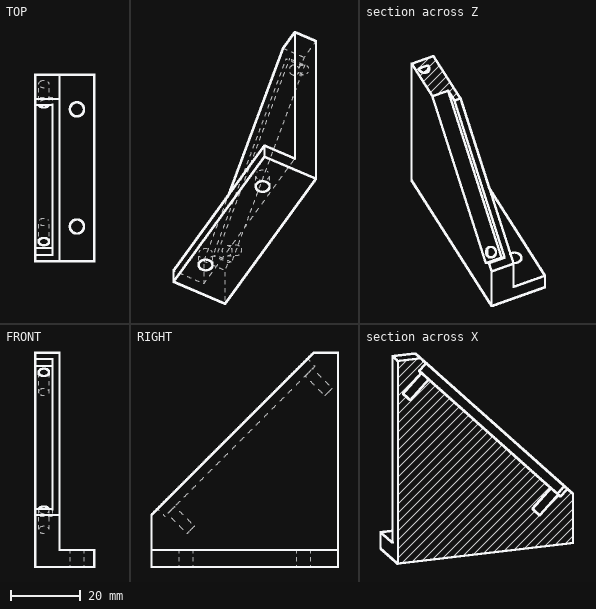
import cadquery as cq
import math

wall_thickness = 7.0
slope_length = 66.0
top_flat = 7.0
front_height = 15.0
slope_rise = slope_length * math.sin(math.radians(45))
depth = slope_rise + top_flat
height = slope_rise + front_height

foot_width = 10.0
foot_thickness = 5.0
foot_hole_diameter = 4.0
foot_hole_offset = 5.0
foot_hole_end_margin = 10.0

pocket_length = 61.0
pocket_width = 5.0
pocket_depth = 3.0

pocket_hole_diameter = 3.0
pocket_hole_end_margin = 2.5
pocket_hole_depth = 8.0


def make_wall():
    outline = [
        (0, 0),
        (depth, 0),
        (depth, height),
        (slope_rise, height),
        (0, front_height),
    ]
    return cq.Workplane("YZ").polyline(outline).close().extrude(wall_thickness)


def make_foot():
    foot = cq.Workplane("XY").box(foot_width, depth, foot_thickness, centered=False)
    foot = foot.translate((wall_thickness, 0, 0))
    hole_x = wall_thickness + foot_hole_offset
    for hole_y in (foot_hole_end_margin, depth - foot_hole_end_margin):
        hole = cq.Workplane("XY").center(hole_x, hole_y).circle(foot_hole_diameter / 2)
        foot = foot.cut(hole.extrude(foot_thickness))
    return foot


def slope_workplane(depth_below_face):
    """Plane parallel to the sloped face, centred on its outer edge.

    Local x is the part's X, local y runs up the slope and the normal points out of the part.
    """
    middle_of_edge = (0, slope_rise / 2, front_height + slope_rise / 2)
    plane = cq.Plane(origin=middle_of_edge, xDir=(1, 0, 0), normal=(0, -1, 1))
    return cq.Workplane(plane).workplane(offset=-depth_below_face)


def make_pocket():
    pocket = slope_workplane(pocket_depth).center(pocket_width / 2, 0)
    return pocket.rect(pocket_width, pocket_length).extrude(pocket_depth)


def make_pocket_holes():
    hole_spacing = pocket_length - 2 * pocket_hole_end_margin
    centers = [(pocket_width / 2, side * hole_spacing / 2) for side in (-1, 1)]
    holes = slope_workplane(pocket_depth).pushPoints(centers)
    return holes.circle(pocket_hole_diameter / 2).extrude(-pocket_hole_depth)


result = make_wall().union(make_foot()).cut(make_pocket()).cut(make_pocket_holes())